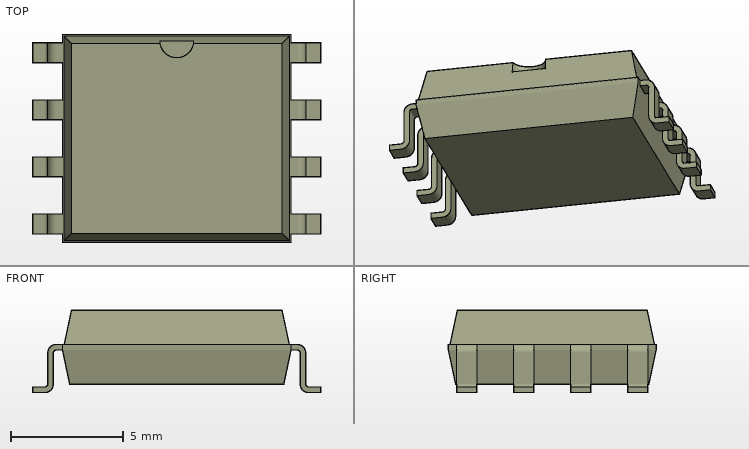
import cadquery as cq
import math

span = 12.84
height = 3.69

body_length = 10.2
body_width = 9.27
body_bottom = 0.37
band_top = 2.16
band_thickness = 0.26
band_bottom = band_top - band_thickness
upper_inset = 0.08
draft_angle = 12.0

notch_radius = 0.76
notch_center_y = 4.35
notch_depth = 0.5

lead_count = 4
lead_pitch = 2.54
lead_width = 0.9
lead_thickness = band_thickness
bend_inner_radius = 0.13
bend_outer_radius = bend_inner_radius + lead_thickness
leg_outer_x = 5.75
leg_inner_x = leg_outer_x - lead_thickness
tip_x = span / 2
root_x = body_length / 2 - lead_thickness


def drafted_half(length, width, start_z, end_z):
    """Block that shrinks by the draft angle on all sides from start_z to end_z."""
    rise = end_z - start_z
    shrink = 2 * abs(rise) * math.tan(math.radians(draft_angle))
    return (
        cq.Workplane("XY", origin=(0, 0, start_z))
        .rect(length, width)
        .workplane(offset=rise)
        .rect(length - shrink, width - shrink)
        .loft(ruled=True)
    )


def make_body():
    band = (
        cq.Workplane("XY", origin=(0, 0, band_bottom))
        .rect(body_length, body_width)
        .extrude(band_thickness)
    )
    upper = drafted_half(body_length - 2 * upper_inset, body_width - 2 * upper_inset, band_top, height)
    lower = drafted_half(body_length, body_width, band_bottom, body_bottom)
    notch = (
        cq.Workplane("XY", origin=(0, notch_center_y, height - notch_depth))
        .circle(notch_radius)
        .extrude(notch_depth)
    )
    return band.union(upper.cut(notch)).union(lower)


def make_lead(center_y):
    """Lead on the +X side: out of the band, down the leg, and out along the foot."""
    blank = (
        cq.Workplane("XZ", origin=(0, center_y, 0))
        .moveTo(root_x, band_top)
        .lineTo(leg_outer_x, band_top)
        .lineTo(leg_outer_x, lead_thickness)
        .lineTo(tip_x, lead_thickness)
        .lineTo(tip_x, 0)
        .lineTo(leg_inner_x, 0)
        .lineTo(leg_inner_x, band_bottom)
        .lineTo(root_x, band_bottom)
        .close()
        .extrude(lead_width / 2, both=True)
    )

    def bend_edge(x, z):
        return cq.selectors.NearestToPointSelector((x, center_y, z))

    outer_bends = (
        blank.edges("|Y").edges(bend_edge(leg_outer_x, band_top)).fillet(bend_outer_radius)
        .edges("|Y").edges(bend_edge(leg_inner_x, 0)).fillet(bend_outer_radius)
    )
    return (
        outer_bends.edges("|Y").edges(bend_edge(leg_outer_x, lead_thickness)).fillet(bend_inner_radius)
        .edges("|Y").edges(bend_edge(leg_inner_x, band_bottom)).fillet(bend_inner_radius)
    )


result = make_body()
for index in range(lead_count):
    lead = make_lead((index - (lead_count - 1) / 2) * lead_pitch)
    result = result.union(lead).union(lead.mirror("YZ"))